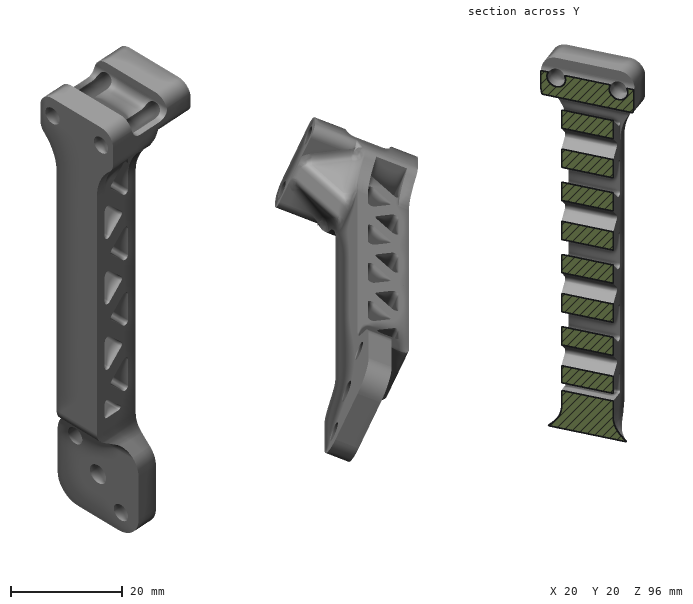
import cadquery as cq
import math

height = 96.0
arm_depth = 10.0
head_depth = 20.0
arm_half_width = 5.0

clearance = 1.0
tolerance = 1e-4
y_axis = 1
z_axis = 2

foot_half_width = 10.0
foot_thickness = 4.5
foot_corner_radius = 5.0
foot_shoulder_z = 15.0
foot_hole_center_z = 10.0
foot_center_hole_diameter = 4.0
foot_screw_circle_radius = 8.0
neck_radius = 5.0

step_top_z = 25.0
step_radius = 3.0
step_turn = math.radians(60)

head_half_width = 9.0
head_bottom_z = 89.2
head_corner_radius = 3.0
head_flare_radius = 10.0
head_bottom_radius = 2.0
rounding_bend_y = 11.9
rounding_drop = 3.6
screw_hole_diameter = 3.5
head_hole_x = 6.0
slot_depth = 4.0
head_hole_z = height - slot_depth

slot_front_y = 5.0
slot_back_y = 14.0
slot_floor_z = head_hole_z
slot_fillet = 2.0

gusset_half_width = 2.0
gusset_side_angle = math.radians(40)
gusset_tip_z = 89.3
gusset_edge_radius = 2.0
gusset_arm_fillet = 3.0
head_blend_radius = 2.0

rail_width = 2.0
window_corner_radius = 0.75
half_window_corner_radius = 0.5
window_apex_depth = 4.8
window_pitch = 15.0
window_top_z = 88.0
window_bottom_z = 27.4
top_rear_apex_z = 79.65
rear_window_count = 4
front_window_count = 3


def body_outline(depth):
    """Outline of foot, arm and head, symmetric about the YZ plane, extruded back from y = 0."""
    eighth_turn = math.radians(45)
    shoulder_center_x = foot_half_width - foot_corner_radius

    def shoulder_point(angle):
        return (
            shoulder_center_x + foot_corner_radius * math.cos(angle),
            foot_shoulder_z + foot_corner_radius * math.sin(angle),
        )

    shoulder_end_x, shoulder_end_z = shoulder_point(eighth_turn)
    neck_center_x = arm_half_width + neck_radius
    flank_run = shoulder_end_x - neck_center_x + neck_radius * math.cos(eighth_turn)
    neck_center_z = shoulder_end_z + flank_run + neck_radius * math.sin(eighth_turn)

    def neck_point(angle):
        return (
            neck_center_x - neck_radius * math.cos(angle),
            neck_center_z - neck_radius * math.sin(angle),
        )

    radius_sum = head_flare_radius + head_corner_radius
    flare_turn = math.acos(1 - (head_half_width - arm_half_width) / radius_sum)
    flare_start_z = head_bottom_z - radius_sum * math.sin(flare_turn)

    def flare_point(angle):
        return (
            arm_half_width + head_flare_radius * (1 - math.cos(angle)),
            flare_start_z + head_flare_radius * math.sin(angle),
        )

    def corner_point(angle):
        return (
            head_half_width - head_corner_radius * (1 - math.cos(angle)),
            head_bottom_z - head_corner_radius * math.sin(angle),
        )

    half = (
        cq.Workplane("XZ")
        .moveTo(0, 0)
        .lineTo(foot_half_width, 0)
        .lineTo(foot_half_width, foot_shoulder_z)
        .threePointArc(shoulder_point(eighth_turn / 2), shoulder_point(eighth_turn))
        .lineTo(*neck_point(eighth_turn))
        .threePointArc(neck_point(eighth_turn / 2), neck_point(0))
        .lineTo(arm_half_width, flare_start_z)
        .threePointArc(flare_point(flare_turn / 2), flare_point(flare_turn))
        .threePointArc(corner_point(flare_turn / 2), (head_half_width, head_bottom_z))
        .lineTo(head_half_width, height)
        .lineTo(0, height)
        .close()
        .extrude(-depth)
    )
    body = half.union(half.mirror("YZ"))
    rounded_foot = body.edges("|Y").edges("<Z").fillet(foot_corner_radius)
    return rounded_foot.edges("|Y").edges(">Z").fillet(head_corner_radius)


def foot_clearance():
    """Material removed in front of the foot plate, with an S-shaped step up to the arm."""
    plate_front_y = arm_depth - foot_thickness
    arc_y = step_radius * (1 - math.cos(step_turn))
    arc_z = step_radius * math.sin(step_turn)
    half_arc_y = step_radius * (1 - math.cos(step_turn / 2))
    half_arc_z = step_radius * math.sin(step_turn / 2)
    ramp_drop = (plate_front_y - 2 * arc_y) / math.tan(step_turn)
    step_bottom_z = step_top_z - 2 * arc_z - ramp_drop
    return (
        cq.Workplane("YZ")
        .moveTo(0, step_top_z)
        .threePointArc((half_arc_y, step_top_z - half_arc_z), (arc_y, step_top_z - arc_z))
        .lineTo(plate_front_y - arc_y, step_bottom_z + arc_z)
        .threePointArc(
            (plate_front_y - half_arc_y, step_bottom_z + half_arc_z),
            (plate_front_y, step_bottom_z),
        )
        .lineTo(plate_front_y, -clearance)
        .lineTo(-clearance, -clearance)
        .lineTo(-clearance, step_top_z)
        .close()
        .extrude(foot_half_width + clearance, both=True)
    )


def box_between(low, high):
    """Axis-aligned box between two opposite corners."""
    size = [high[axis] - low[axis] for axis in range(3)]
    return cq.Workplane("XY").box(*size, centered=False).translate(low)


def gusset_beam():
    """Beam rising rearward at 45 degrees, wider towards the top, with rounded lower edges."""
    beam_height = head_depth
    top_half_width = gusset_half_width + beam_height * math.tan(gusset_side_angle)
    section_plane = cq.Plane(origin=(0, head_depth, gusset_tip_z), xDir=(1, 0, 0), normal=(0, -1, -1))
    section = [
        (-gusset_half_width, 0),
        (gusset_half_width, 0),
        (top_half_width, beam_height),
        (-top_half_width, beam_height),
    ]
    beam = cq.Workplane(section_plane).polyline(section).close().extrude(2 * head_depth, both=True)
    lower_edges = cq.selectors.BoxSelector(
        (-gusset_half_width - clearance, -height, -height),
        (gusset_half_width + clearance, height, 2 * height),
        boundingbox=True,
    )
    along_beam = cq.selectors.ParallelDirSelector(cq.Vector(0, 1, 1))
    return beam.edges(along_beam).edges(lower_edges).fillet(gusset_edge_radius)


def edges_in_plane(body, axis, position, limit):
    """Edges lying wholly in the plane axis = position, leaving out those on the slabs' outer sides."""
    samples = (0, 0.25, 0.5, 0.75, 1)
    found = []
    for edge in body.edges().vals():
        points = [edge.positionAt(sample).toTuple() for sample in samples]
        in_plane = all(abs(point[axis] - position) < tolerance for point in points)
        middle = points[2]
        within_slabs = abs(middle[0]) < limit and middle[1] < limit
        within_height = head_bottom_z - limit < middle[2] < height - clearance
        if in_plane and within_slabs and within_height:
            found.append(edge)
    return found


def rear_head():
    """Rear of the head with its gusset, both blended into the back of the arm.

    The blends are made on oversized slabs and the result is trimmed to the head outline.
    """
    reach = 2 * head_depth
    limit = reach - clearance
    low_corner = (-reach, 0, head_bottom_z - reach)
    wall = box_between(low_corner, (reach, arm_depth, height))
    roof = box_between((-reach, 0, head_bottom_z), (reach, reach, height))
    zone = box_between(low_corner, (reach, reach, height))

    support = wall.union(gusset_beam().intersect(zone))
    arm_edges = edges_in_plane(support, y_axis, arm_depth, limit)
    support = support.newObject(arm_edges).fillet(gusset_arm_fillet).union(roof)
    underside_edges = edges_in_plane(support, z_axis, head_bottom_z, limit)
    support = support.newObject(underside_edges).fillet(head_blend_radius)

    behind_arm = box_between((-reach, arm_depth, head_bottom_z - reach), (reach, head_depth, height))
    rear = body_outline(head_depth).intersect(behind_arm)
    return support.intersect(rear).cut(head_edge_rounding())


def head_edge_rounding():
    """Material removed to round the two lower side edges of the rear head.

    Near the arm each rounding slopes down and runs out at the back of the flared outline.
    """
    diagonal = head_bottom_radius * math.sqrt(0.5)
    center_x = head_half_width - head_bottom_radius

    def profile(plane_y, low_z):
        center_z = low_z + head_bottom_radius
        return (
            cq.Workplane("XZ", origin=(0, plane_y, 0))
            .moveTo(center_x, low_z)
            .threePointArc((center_x + diagonal, center_z - diagonal), (head_half_width, center_z))
            .lineTo(head_half_width, low_z)
            .close()
        )

    straight = profile(rounding_bend_y, head_bottom_z).extrude(-head_depth)
    bend = profile(rounding_bend_y, head_bottom_z).val()
    end = profile(arm_depth, head_bottom_z - rounding_drop).val()
    runout = cq.Workplane(obj=cq.Solid.makeLoft([bend, end], True))
    corner = straight.union(runout)
    return corner.union(corner.mirror("YZ"))


def head_slot():
    """Slot across the head, open at the top and sides, with rounded floor edges."""
    slot = box_between(
        (-foot_half_width, slot_front_y, slot_floor_z),
        (foot_half_width, slot_back_y, height + clearance),
    )
    return slot.edges("|X and <Z").fillet(slot_fillet)


def through_hole(x, z, diameter):
    """Cylinder along Y through the full depth."""
    return cq.Workplane("XZ", origin=(x, 0, z)).circle(diameter / 2).extrude(-head_depth)


def holes():
    """Two head screw holes, the foot centre hole and two foot screw holes on a diagonal."""
    offset = foot_screw_circle_radius * math.sqrt(0.5)
    tools = through_hole(0, foot_hole_center_z, foot_center_hole_diameter)
    for side in (-1, 1):
        tools = tools.union(through_hole(side * head_hole_x, head_hole_z, screw_hole_diameter))
        foot_hole_z = foot_hole_center_z - side * offset
        tools = tools.union(through_hole(side * offset, foot_hole_z, screw_hole_diameter))
    return tools


def window(points, corner_radius, corners="|X"):
    """Prism through the arm along X, with the selected corners rounded."""
    prism = cq.Workplane("YZ").polyline(points).close().extrude(foot_half_width, both=True)
    return prism.edges(corners).fillet(corner_radius)


def truss_windows():
    """Triangular windows with 45 degree sides, based alternately on the front and rear rail."""
    front_y = rail_width
    rear_y = arm_depth - rail_width
    depth = window_apex_depth
    tools = []

    def full_window(base_y, apex_y, z):
        tools.append(window([(base_y, z - depth), (apex_y, z), (base_y, z + depth)], window_corner_radius))

    for index in range(rear_window_count):
        full_window(rear_y, rear_y - depth, top_rear_apex_z - index * window_pitch)
    for index in range(front_window_count):
        full_window(front_y, front_y + depth, top_rear_apex_z - (index + 0.5) * window_pitch)

    bottom = [
        (front_y, window_bottom_z),
        (front_y + depth, window_bottom_z),
        (front_y, window_bottom_z + depth),
    ]
    tools.append(window(bottom, half_window_corner_radius))
    top_low_z = top_rear_apex_z + window_pitch / 2 - depth
    top = [
        (front_y, top_low_z),
        (front_y + window_top_z - top_low_z, window_top_z),
        (front_y, window_top_z),
    ]
    tools.append(window(top, half_window_corner_radius, "|X and <Z"))
    return tools


def flare_recess():
    """Pockets that keep the truss band flush with the arm sides where the outline flares."""
    band = box_between(
        (arm_half_width, rail_width, top_rear_apex_z - window_pitch),
        (foot_half_width, arm_depth - rail_width, window_top_z),
    )
    return band.union(band.mirror("YZ"))


result = body_outline(arm_depth).cut(foot_clearance()).union(rear_head())
result = result.cut(head_slot()).cut(holes()).cut(flare_recess())
for tool in truss_windows():
    result = result.cut(tool)